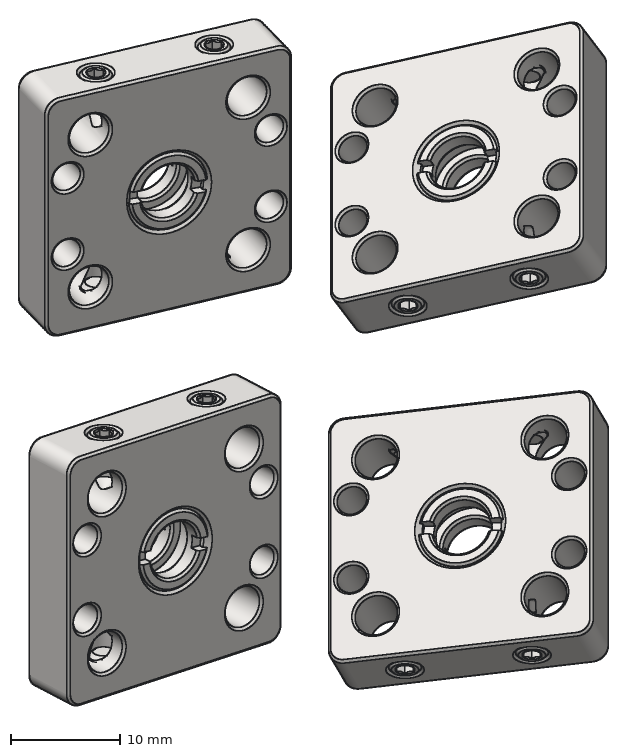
import cadquery as cq
import math

PLATE_SIZE = 25.0
PLATE_THICKNESS = 6.0
CORNER_RADIUS = 1.5
EDGE_CHAMFER = 0.25

ROD_HOLE_DIAMETER = 4.0
ROD_SPACING = 16.0
MOUNT_HOLE_DIAMETER = 2.8
MOUNT_SPACING_Y = 20.6
MOUNT_SPACING_Z = 8.0
HOLE_CHAMFER = 0.25

BORE_DIAMETER = 7.5
BORE_MOUTH_DIAMETER = 8.6
RING_DIAMETER = 8.0
RING_HOLE_DIAMETER = 5.5
RING_CHAMFER = 0.25
RING_THICKNESS = 2.0
SLOT_WIDTH = 1.25
SLOT_DEPTH = 1.0
SLOT_ANGLE = 4.0

SCREW_DIAMETER = 3.0
SCREW_LENGTH = 3.0
SCREW_SPACING_Y = 12.0
SCREW_HEAD_CHAMFER = 0.25
SCREW_TIP_CHAMFER = 0.5
SOCKET_ACROSS_FLATS = 1.5
SOCKET_DEPTH = 1.5
SOCKET_ANGLE = 15.0
SOCKET_MOUTH_DIAMETER = 1.8

TAP_DIAMETER = 2.5
TAP_DEPTH = 5.0
DRILL_POINT_ANGLE = 118.0

MID_X = PLATE_THICKNESS / 2
TOP_Z = PLATE_SIZE / 2


def make_set_screw():
    """Set screw under the top face, centred on Y = 0, socket up."""
    screw = (
        cq.Workplane("XY", origin=(MID_X, 0, TOP_Z))
        .circle(SCREW_DIAMETER / 2)
        .extrude(-SCREW_LENGTH)
        .faces(">Z").chamfer(SCREW_HEAD_CHAMFER)
        .faces("<Z").chamfer(SCREW_TIP_CHAMFER)
    )
    socket = (
        cq.Workplane("XY", origin=(MID_X, 0, TOP_Z))
        .transformed(rotate=(0, 0, SOCKET_ANGLE))
        .polygon(6, SOCKET_ACROSS_FLATS, circumscribed=True)
        .extrude(-SOCKET_DEPTH)
    )
    mouth_radius = SOCKET_MOUTH_DIAMETER / 2
    mouth_centre = cq.Vector(MID_X, 0, TOP_Z)
    socket_mouth = cq.Solid.makeCone(mouth_radius, 0, mouth_radius, mouth_centre, cq.Vector(0, 0, -1))
    return screw.cut(socket).cut(cq.Workplane(socket_mouth))


def make_ring():
    """Ring at the -X face, with a screwdriver slot across its outer face."""
    ring = (
        cq.Workplane("YZ")
        .circle(RING_DIAMETER / 2)
        .circle(RING_HOLE_DIAMETER / 2)
        .extrude(RING_THICKNESS)
        .faces("<X or >X").edges().chamfer(RING_CHAMFER)
    )
    slot = (
        cq.Workplane("YZ")
        .transformed(rotate=(0, 0, SLOT_ANGLE))
        .rect(2 * RING_DIAMETER, SLOT_WIDTH)
        .extrude(SLOT_DEPTH)
    )
    return ring.cut(slot)


def chamfered_hole(diameter, chamfer):
    """Cutter for a hole through the plate along X, widened at both faces."""
    radius = diameter / 2
    return (
        cq.Workplane("XY")
        .moveTo(0, 0)
        .lineTo(0, radius + chamfer)
        .lineTo(chamfer, radius)
        .lineTo(PLATE_THICKNESS - chamfer, radius)
        .lineTo(PLATE_THICKNESS, radius + chamfer)
        .lineTo(PLATE_THICKNESS, 0)
        .close()
        .revolve(360, (0, 0, 0), (1, 0, 0))
    )


def make_screw_hole():
    """Cutter for a set screw hole in the top face, on Y = 0.

    It fits round the screw and its tip chamfer, then goes on as the tap drill with its pointed end.
    """
    screw_radius = SCREW_DIAMETER / 2
    tap_radius = TAP_DIAMETER / 2
    shoulder_top = SCREW_LENGTH - SCREW_TIP_CHAMFER
    shoulder_bottom = shoulder_top + screw_radius - tap_radius
    point_height = tap_radius / math.tan(math.radians(DRILL_POINT_ANGLE / 2))
    return (
        cq.Workplane("XZ", origin=(MID_X, 0, TOP_Z))
        .moveTo(0, 0)
        .lineTo(screw_radius + HOLE_CHAMFER, 0)
        .lineTo(screw_radius, -HOLE_CHAMFER)
        .lineTo(screw_radius, -shoulder_top)
        .lineTo(tap_radius, -shoulder_bottom)
        .lineTo(tap_radius, -TAP_DEPTH)
        .lineTo(0, -TAP_DEPTH - point_height)
        .close()
        .revolve(360, (0, 0, 0), (0, 1, 0))
    )


def at_screw_places(body):
    """Copies of a body at the four set screw places, two on top and two underneath."""
    places = []
    for side in (-1, 1):
        upper = body.translate((0, side * SCREW_SPACING_Y / 2, 0))
        places.append(upper)
        places.append(upper.rotate((MID_X, 0, 0), (MID_X + 1, 0, 0), 180))
    return places


def make_plate(inside_rings):
    """Plate with all its holes; the rings leave their own shape in the wall of the bore."""
    plate = (
        cq.Workplane("YZ")
        .rect(PLATE_SIZE, PLATE_SIZE)
        .extrude(PLATE_THICKNESS)
        .edges("|X").fillet(CORNER_RADIUS)
        .faces("<X or >X").chamfer(EDGE_CHAMFER)
    )
    rod_hole = chamfered_hole(ROD_HOLE_DIAMETER, HOLE_CHAMFER)
    mount_hole = chamfered_hole(MOUNT_HOLE_DIAMETER, HOLE_CHAMFER)
    bore_chamfer = (BORE_MOUTH_DIAMETER - BORE_DIAMETER) / 2
    bore = chamfered_hole(BORE_DIAMETER, bore_chamfer)
    for y_side in (-1, 1):
        for z_side in (-1, 1):
            rod_place = (0, y_side * ROD_SPACING / 2, z_side * ROD_SPACING / 2)
            mount_place = (0, y_side * MOUNT_SPACING_Y / 2, z_side * MOUNT_SPACING_Z / 2)
            plate = plate.cut(rod_hole.translate(rod_place))
            plate = plate.cut(mount_hole.translate(mount_place))
    plate = plate.cut(bore)
    for hole in at_screw_places(make_screw_hole()):
        plate = plate.cut(hole)
    for ring in inside_rings:
        plate = plate.cut(ring)
    return plate


front_ring = make_ring()
back_ring = front_ring.rotate((MID_X, 0, 0), (MID_X, 0, 1), 180)
rings = [front_ring, back_ring]
set_screws = at_screw_places(make_set_screw())
plate = make_plate(rings)

bodies = [plate, *rings, *set_screws]
result = cq.Compound.makeCompound([body.val() for body in bodies])